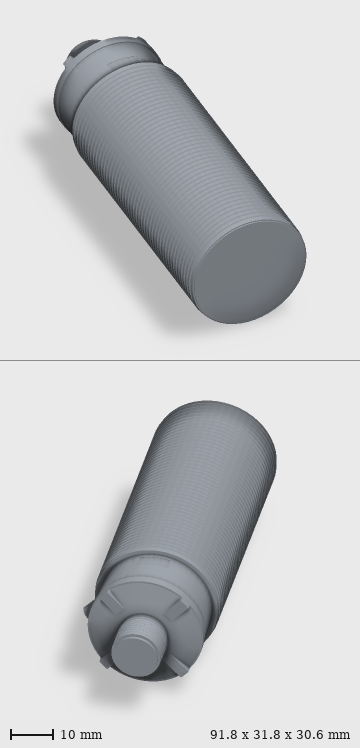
import cadquery as cq
import math

cap_start = 9.6
rib_face = 10.0
rim_start = 11.7
neck_start = 13.9
sleeve_start = 24.2
sleeve_end = 91.6
overall_length = 91.85

tip_length = 0.8
tip_radius = 5.3
connector_radius = 6.0
connector_thread_start = 1.5
connector_thread_end = 8.45
connector_turns = 7
insert_radius = 3.8
insert_length = 7.35
bottom_key_radius = 0.8
side_key_radius = 1.3
bottom_key_reach = 4.5
side_key_reach = 4.4

cone_small_radius = 6.4
cone_large_radius = 13.6
rim_radius = 14.05
rib_width = 2.7
rib_bar_angles = (45, 135)

neck_radius = 13.8
recess_depth = 0.1
label_start = 19.75
label_length = 3.4
label_width = 7.6
label_angles = (0, 180)
mark_start = 16.3
mark_length = 2.7
mark_width = 4.3
mark_angle = 135
button_station = 18.6
button_radius = 2.0
button_length = 3.7
button_tip = 16.5
button_tilt = 45.0

sleeve_radius = 15.0
sleeve_thread_start = 25.7
sleeve_thread_end = 90.1
sleeve_turns = 43
disc_radius = 14.6

sleeve_ridge_height = 0.3
connector_ridge_height = 0.1
ridge_width = 0.3


def rod(start, end, radius):
    """Cylinder around the X axis between two stations."""
    return cq.Workplane("YZ").workplane(offset=start).circle(radius).extrude(end - start)


def threaded_rod(start, end, radius, thread_start, thread_end, turns, ridge_height):
    """Cylinder around the X axis whose outline carries one fine crest per pitch."""
    pitch = (thread_end - thread_start) / turns
    outline = cq.Workplane("XY").moveTo(start, 0).lineTo(start, radius)
    for turn in range(turns + 1):
        crest = thread_start + turn * pitch
        outline = outline.lineTo(crest - ridge_width / 2, radius)
        outline = outline.lineTo(crest, radius + ridge_height)
        outline = outline.lineTo(crest + ridge_width / 2, radius)
    outline = outline.lineTo(end, radius).lineTo(end, 0).close()
    return outline.revolve(360, (0, 0, 0), (1, 0, 0))


def make_insert():
    """Contact carrier with a round key toward +Y and another toward -Z."""
    insert = rod(0, insert_length, insert_radius)
    side_key = rod(0, insert_length, side_key_radius)
    side_key = side_key.translate((0, side_key_reach - side_key_radius, 0))
    bottom_key = rod(0, insert_length, bottom_key_radius)
    bottom_key = bottom_key.translate((0, 0, bottom_key_radius - bottom_key_reach))
    return insert.union(side_key).union(bottom_key)


def make_connector(insert):
    """Threaded plug with a plain tip and a socket that fits the insert."""
    thread = threaded_rod(
        tip_length, cap_start, connector_radius,
        connector_thread_start, connector_thread_end, connector_turns, connector_ridge_height,
    )
    return rod(0, tip_length, tip_radius).union(thread).cut(insert)


def make_rear_cap():
    """Cone and rim, with flat-faced radial ribs standing on the cone."""
    cap = (
        cq.Workplane("XY")
        .moveTo(cap_start, 0)
        .lineTo(cap_start, cone_small_radius)
        .lineTo(rim_start, cone_large_radius)
        .lineTo(rim_start, rim_radius)
        .lineTo(neck_start, rim_radius)
        .lineTo(neck_start, 0)
        .close()
        .revolve(360, (0, 0, 0), (1, 0, 0))
    )
    rib_disc = rod(rib_face, rim_start, rim_radius)
    for angle in rib_bar_angles:
        bar = cq.Workplane("XY").box(2 * neck_start, 4 * rim_radius, rib_width)
        opposite_ribs = rib_disc.intersect(bar.rotate((0, 0, 0), (1, 0, 0), angle))
        cap = cap.union(opposite_ribs)
    return cap


def make_button():
    """Short tilted cylinder whose upper end edge is the outermost point, level with the axis."""
    tilt = math.radians(button_tilt)
    axis = cq.Vector(0, math.cos(tilt), -math.sin(tilt))
    edge_point = cq.Vector(button_station, button_tip, 0)
    end_center = edge_point - cq.Vector(0, math.sin(tilt), math.cos(tilt)) * button_radius
    inner_center = end_center - axis * button_length
    return cq.Workplane(obj=cq.Solid.makeCylinder(button_radius, button_length, inner_center, axis))


def surface_recess(start, length, width, angle):
    """Thin rectangular patch of the neck surface, turned about X from the +Z side."""
    patch = cq.Workplane("XY").box(
        length, width, 2 * neck_radius, centered=(False, True, False)
    ).translate((start, 0, 0))
    skin = rod(start, start + length, neck_radius).cut(
        rod(start, start + length, neck_radius - recess_depth)
    )
    return patch.intersect(skin).rotate((0, 0, 0), (1, 0, 0), angle)


def make_neck(button):
    """Plain neck with label recesses above and below, one diagonal mark and the button hole."""
    neck = rod(neck_start, sleeve_start, neck_radius).cut(button)
    for label_angle in label_angles:
        neck = neck.cut(surface_recess(label_start, label_length, label_width, label_angle))
    return neck.cut(surface_recess(mark_start, mark_length, mark_width, mark_angle))


insert = make_insert()
connector = make_connector(insert)
rear_cap = make_rear_cap()
button = make_button()
neck = make_neck(button)
sleeve = threaded_rod(
    sleeve_start, sleeve_end, sleeve_radius,
    sleeve_thread_start, sleeve_thread_end, sleeve_turns, sleeve_ridge_height,
)
sensing_disc = rod(sleeve_end, overall_length, disc_radius)

bodies = [insert, connector, rear_cap, button, neck, sleeve, sensing_disc]
result = cq.Compound.makeCompound([body.solids().val() for body in bodies])